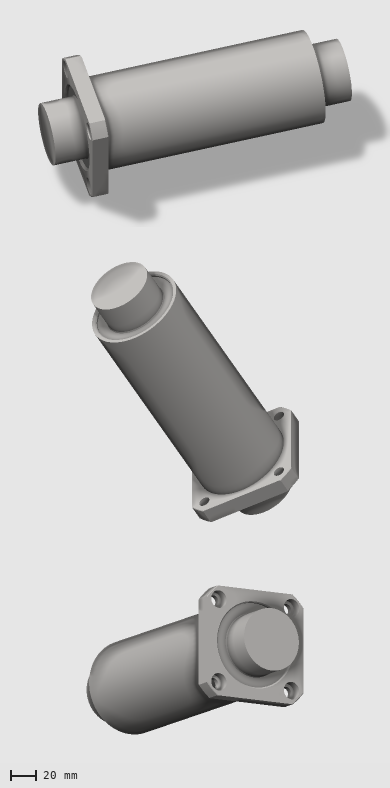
import cadquery as cq
import math

length = 242.0
shaft_diameter = 50.0
shaft_overhang = 25.0
body_diameter = 75.0
body_length = length - 2 * shaft_overhang
body_front = -body_length / 2

flange_width = 88.0
flange_thickness = 13.0
flange_corner_diameter = 111.8
flange_edge_chamfer = 0.5

hole_pitch_diameter = 94.0
hole_diameter = 9.0
counterbore_diameter = 14.0
counterbore_depth = 8.2

bore_diameter = 67.8
bore_chamfer = 1.0
seal_recess_depth = 2.5
lip_diameter = 51.3
lip_height = 1.0


def cylinder(diameter, start, depth):
    """Cylinder about the Y axis, running from y = start towards +Y."""
    plane = cq.Plane(origin=(0, start, 0), xDir=(1, 0, 0), normal=(0, 1, 0))
    return cq.Workplane(plane).circle(diameter / 2).extrude(depth)


def make_flange():
    disc = cylinder(flange_corner_diameter, body_front, flange_thickness).edges().chamfer(flange_edge_chamfer)
    middle = body_front + flange_thickness / 2
    square = cq.Workplane("XY").box(flange_width, flange_thickness, flange_width).translate((0, middle, 0))
    return disc.intersect(square)


def make_mounting_holes():
    offset = hole_pitch_diameter / 2 * math.sqrt(0.5)
    hole = cylinder(hole_diameter, body_front, flange_thickness)
    hole = hole.union(cylinder(counterbore_diameter, body_front, counterbore_depth))
    holes = cq.Workplane("XY")
    for x in (-offset, offset):
        for z in (-offset, offset):
            holes = holes.union(hole.translate((x, 0, z)))
    return holes


def make_seal_recess():
    """Ring removed at the front end: a chamfered recess that leaves a tapered lip on its floor."""
    shaft_radius = shaft_diameter / 2
    bore_radius = bore_diameter / 2
    seal_face = body_front + seal_recess_depth
    profile = (
        cq.Workplane("XY")
        .moveTo(shaft_radius, body_front)
        .lineTo(bore_radius + bore_chamfer, body_front)
        .lineTo(bore_radius, body_front + bore_chamfer)
        .lineTo(bore_radius, seal_face)
        .lineTo(lip_diameter / 2, seal_face)
        .lineTo(shaft_radius, seal_face - lip_height)
        .close()
    )
    return profile.revolve(360, (0, 0, 0), (0, 1, 0))


body = cylinder(body_diameter, body_front, body_length)
shaft = cylinder(shaft_diameter, -length / 2, length)
front_recess = make_seal_recess()
back_recess = front_recess.mirror("XZ")

result = body.union(make_flange()).union(shaft)
result = result.cut(make_mounting_holes())
result = result.cut(front_recess).cut(back_recess)